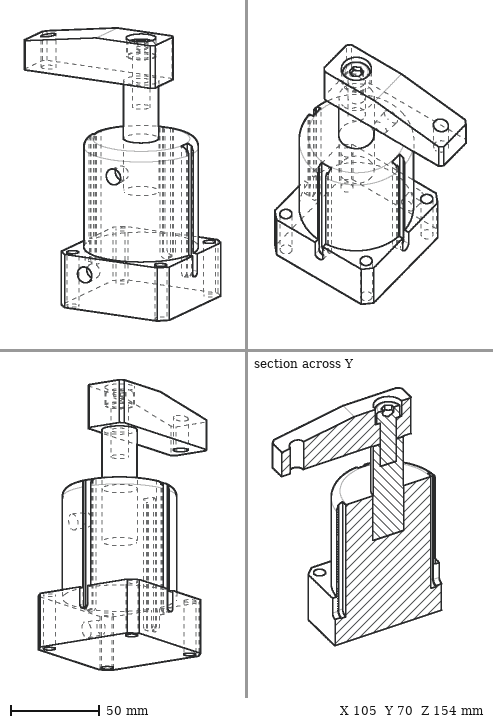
import cadquery as cq
import math


BASE_WIDTH = 70.0
BASE_HEIGHT = 31.3
BASE_CHAMFER = 5.0
MOUNT_HOLE_DIAMETER = 6.8
MOUNT_HOLE_SPACING = 57

BARREL_DIAMETER = 65.0
BARREL_TOP_Z = 95.0
BARREL_FILLET = 5.0

SLOT_MOUTH_WIDTH = 5.5
SLOT_INNER_WIDTH = 7.0
SLOT_FLOOR_RADIUS = 28.0
SLOT_LIP_RADIUS = 31.1
SLOT_END_CENTER_Z = 21.3
SLOT_DIRECTIONS = (0, 90, 180)

PORT_RIM_DIAMETER = 9.2
PORT_FLOOR_DIAMETER = 8.3
PORT_DEPTH = 10.0
BARREL_PORT_X = 0
BARREL_PORT_Z = 80.1
BASE_PORT_X = -17.1
BASE_PORT_Z = 21.0

ROD_DIAMETER = 20
ROD_INSERTION = 30.8

OVERALL_LENGTH = 105.0
TOTAL_HEIGHT = 154
ARM_THICKNESS = 25.0
ARM_WIDTH = 25.0
ARM_LENGTH = 85.0
ARM_TIP_X = BASE_WIDTH / 2 - OVERALL_LENGTH
ARM_TIP_THICKNESS = 17
ARM_SLOPE_START_X = -22.5
ARM_CHAMFER = 2.0
TIP_HOLE_X = -60
TIP_HOLE_DIAMETER = 8.5

COUNTERBORE_DIAMETER = 17
COUNTERBORE_DEPTH = 10.5
HEAD_DIAMETER = 15.4
HEAD_HEIGHT = 8.0
HEAD_FILLET = 1.2
SHANK_DIAMETER = 10.0
SHANK_ROD_INSERTION = 15.4
SOCKET_ACROSS_FLATS = 6.8
SOCKET_DEPTH = 3.1
SOCKET_DRILL_ANGLE = 118

ARM_BOTTOM_Z = TOTAL_HEIGHT - ARM_THICKNESS
ROD_BOTTOM_Z = BARREL_TOP_Z - ROD_INSERTION
HEAD_SEAT_Z = TOTAL_HEIGHT - COUNTERBORE_DEPTH
HEAD_TOP_Z = HEAD_SEAT_Z + HEAD_HEIGHT
SHANK_BOTTOM_Z = ARM_BOTTOM_Z - SHANK_ROD_INSERTION


def cylinder(diameter, bottom_z, top_z, x=0):
    """Vertical cylinder centred on the XZ plane."""
    return (
        cq.Workplane("XY", origin=(x, 0, bottom_z))
        .circle(diameter / 2)
        .extrude(top_z - bottom_z)
    )


def drill_point_height(diameter, angle):
    """Height of the cone that a drill with this point angle leaves."""
    return diameter / 2 / math.tan(math.radians(angle / 2))


def slot_section(width, inner_radius, outer_radius):
    """Upright slot on the +X side with a round lower end, open at the barrel top."""
    straight_height = BARREL_TOP_Z - SLOT_END_CENTER_Z
    depth = outer_radius - inner_radius
    return (
        cq.Workplane("YZ", origin=(inner_radius, 0, SLOT_END_CENTER_Z))
        .moveTo(-width / 2, straight_height)
        .lineTo(-width / 2, 0)
        .threePointArc((0, -width / 2), (width / 2, 0))
        .lineTo(width / 2, straight_height)
        .close()
        .extrude(depth)
    )


def t_slot(direction):
    """T-slot cutter: a wide channel behind a narrower mouth."""
    channel = slot_section(SLOT_INNER_WIDTH, SLOT_FLOOR_RADIUS, SLOT_LIP_RADIUS)
    mouth = slot_section(SLOT_MOUTH_WIDTH, SLOT_LIP_RADIUS, BASE_WIDTH / 2)
    return channel.union(mouth).rotate((0, 0, 0), (0, 0, 1), direction)


def port(x, z, surface_y):
    """Tapered, flat-bottomed port running in +Y from a surface."""
    return (
        cq.Workplane("XZ", origin=(x, surface_y, z))
        .circle(PORT_RIM_DIAMETER / 2)
        .workplane(offset=-PORT_DEPTH)
        .circle(PORT_FLOOR_DIAMETER / 2)
        .loft()
    )


def make_housing():
    base = (
        cq.Workplane("XY")
        .rect(BASE_WIDTH, BASE_WIDTH)
        .extrude(BASE_HEIGHT)
        .edges("|Z")
        .chamfer(BASE_CHAMFER)
    )
    mount_holes = (
        cq.Workplane("XY")
        .rect(MOUNT_HOLE_SPACING, MOUNT_HOLE_SPACING, forConstruction=True)
        .vertices()
        .circle(MOUNT_HOLE_DIAMETER / 2)
        .extrude(BASE_HEIGHT)
    )
    barrel = cylinder(BARREL_DIAMETER, BASE_HEIGHT, BARREL_TOP_Z)
    barrel = barrel.faces(">Z").edges().fillet(BARREL_FILLET)
    housing = base.cut(mount_holes).union(barrel)
    for direction in SLOT_DIRECTIONS:
        housing = housing.cut(t_slot(direction))
    housing = housing.cut(port(BARREL_PORT_X, BARREL_PORT_Z, -BARREL_DIAMETER / 2))
    housing = housing.cut(port(BASE_PORT_X, BASE_PORT_Z, -BASE_WIDTH / 2))
    return housing.cut(cylinder(ROD_DIAMETER, ROD_BOTTOM_Z, BARREL_TOP_Z))


def make_piston_rod():
    rod = cylinder(ROD_DIAMETER, ROD_BOTTOM_Z, ARM_BOTTOM_Z)
    return rod.cut(cylinder(SHANK_DIAMETER, SHANK_BOTTOM_Z, ARM_BOTTOM_Z))


def make_clamp_arm():
    back_x = ARM_TIP_X + ARM_LENGTH
    arm = (
        cq.Workplane("XZ", origin=(0, ARM_WIDTH / 2, 0))
        .polyline(
            [
                (ARM_TIP_X, ARM_BOTTOM_Z),
                (back_x, ARM_BOTTOM_Z),
                (back_x, TOTAL_HEIGHT),
                (ARM_SLOPE_START_X, TOTAL_HEIGHT),
                (ARM_TIP_X, ARM_BOTTOM_Z + ARM_TIP_THICKNESS),
            ]
        )
        .close()
        .extrude(ARM_WIDTH)
        .edges("|Z")
        .chamfer(ARM_CHAMFER)
    )
    arm = arm.cut(cylinder(TIP_HOLE_DIAMETER, ARM_BOTTOM_Z, TOTAL_HEIGHT, TIP_HOLE_X))
    arm = arm.cut(cylinder(SHANK_DIAMETER, ARM_BOTTOM_Z, TOTAL_HEIGHT))
    return arm.cut(cylinder(COUNTERBORE_DIAMETER, HEAD_SEAT_Z, TOTAL_HEIGHT))


def hex_socket():
    """Hexagonal socket cutter with flats facing +X and -X and a conical floor."""
    corner_diameter = SOCKET_ACROSS_FLATS / math.cos(math.radians(30))
    cone_height = drill_point_height(corner_diameter, SOCKET_DRILL_ANGLE)
    floor_z = HEAD_TOP_Z - SOCKET_DEPTH
    hexagon = (
        cq.Workplane("XY", origin=(0, 0, floor_z - cone_height))
        .polygon(6, corner_diameter)
        .extrude(SOCKET_DEPTH + cone_height)
        .rotate((0, 0, 0), (0, 0, 1), 30)
    )
    drilled = (
        cq.Workplane("XZ")
        .polyline(
            [
                (0, floor_z - cone_height),
                (corner_diameter / 2, floor_z),
                (corner_diameter / 2, HEAD_TOP_Z),
                (0, HEAD_TOP_Z),
            ]
        )
        .close()
        .revolve(360, (0, 0, 0), (0, 1, 0))
    )
    return hexagon.intersect(drilled)


def make_clamp_bolt():
    head = cylinder(HEAD_DIAMETER, HEAD_SEAT_Z, HEAD_TOP_Z)
    head = head.faces(">Z").edges().fillet(HEAD_FILLET)
    shank = cylinder(SHANK_DIAMETER, SHANK_BOTTOM_Z, HEAD_SEAT_Z)
    return head.union(shank).cut(hex_socket())


housing = make_housing()
piston_rod = make_piston_rod()
clamp_arm = make_clamp_arm()
clamp_bolt = make_clamp_bolt()

result = cq.Compound.makeCompound(
    [housing.val(), piston_rod.val(), clamp_arm.val(), clamp_bolt.val()]
)